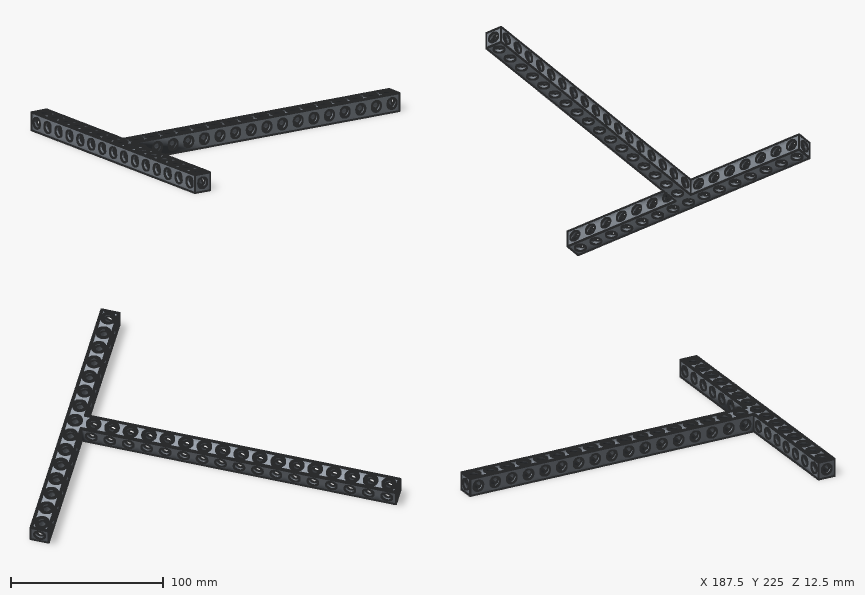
import cadquery as cq

length_y = 225.0
bar_holes = 15
stem_holes = 18
hole_diameter = 7.0
boss_diameter = 9.2
rim_width = 1.1
recess_depth = 0.2
edge_chamfer = 0.3
bore_margin = 2.2

pitch = length_y / stem_holes
half_pitch = pitch / 2
bar_length = bar_holes * pitch

bar_positions = [(i - bar_holes // 2) * pitch for i in range(bar_holes)]
stem_positions = [j * pitch for j in range(stem_holes)]
hole_centres = [(x, 0) for x in bar_positions] + [(0, y) for y in stem_positions[1:]]
stem_end = length_y - half_pitch


def tee_prism(inset, height):
    """T-shaped prism standing on Z = 0, its outline moved inwards by inset."""
    bar_x = bar_length / 2 - inset
    bar_y = half_pitch - inset
    stem_x = half_pitch - inset
    outline = [
        (-bar_x, -bar_y),
        (bar_x, -bar_y),
        (bar_x, bar_y),
        (stem_x, bar_y),
        (stem_x, stem_end - inset),
        (-stem_x, stem_end - inset),
        (-stem_x, bar_y),
        (-bar_x, bar_y),
    ]
    return cq.Workplane("XY").polyline(outline).close().extrude(height)


def is_inner_corner(edge):
    """True for the two upright edges where the stem meets the crossbar."""
    centre = edge.Center()
    at_stem_side = abs(abs(centre.x) - half_pitch) < edge_chamfer
    at_bar_side = abs(centre.y - half_pitch) < edge_chamfer
    return at_stem_side and at_bar_side


def make_body():
    """T of two beams with every edge chamfered except the two inner corners."""
    body = tee_prism(0, pitch)
    upright_edges = [e for e in body.edges("|Z").vals() if not is_inner_corner(e)]
    level_edges = body.edges("#Z").vals()
    return body.newObject(upright_edges + level_edges).chamfer(edge_chamfer).val()


def hole_cutters(start, end):
    """Through hole between two outer faces, with a chamfered mouth at each end."""
    start = cq.Vector(*start)
    end = cq.Vector(*end)
    inward = (end - start).normalized()
    radius = hole_diameter / 2
    cone_length = edge_chamfer + bore_margin
    bore_length = (end - start).Length + 2 * bore_margin
    cutters = [cq.Solid.makeCylinder(radius, bore_length, start - inward * bore_margin, inward)]
    for face_point, outward in ((start, inward * -1), (end, inward)):
        cone_base = face_point - outward * edge_chamfer
        cutters.append(cq.Solid.makeCone(radius, radius + cone_length, cone_length, cone_base, outward))
    return cutters


def all_hole_cutters():
    """Holes along X, Y and Z; the rows on the beam axes run the full beam length."""
    cutters = []
    for x in bar_positions:
        far_y = stem_end if x == 0 else half_pitch
        cutters += hole_cutters((x, -half_pitch, half_pitch), (x, far_y, half_pitch))
    for y in stem_positions:
        reach = bar_length / 2 if y == 0 else half_pitch
        cutters += hole_cutters((-reach, y, half_pitch), (reach, y, half_pitch))
    for x, y in hole_centres:
        cutters += hole_cutters((x, y, 0), (x, y, pitch))
    return cutters


def top_recess():
    """Shallow recess in the top, leaving the border and a ring around each hole."""
    height = recess_depth + bore_margin
    rings = cq.Workplane("XY").pushPoints(hole_centres).circle(boss_diameter / 2).extrude(height)
    return tee_prism(rim_width, height).cut(rings).translate((0, 0, pitch - recess_depth)).val()


result = cq.Workplane(make_body().cut(*all_hole_cutters()).cut(top_recess())).solids()